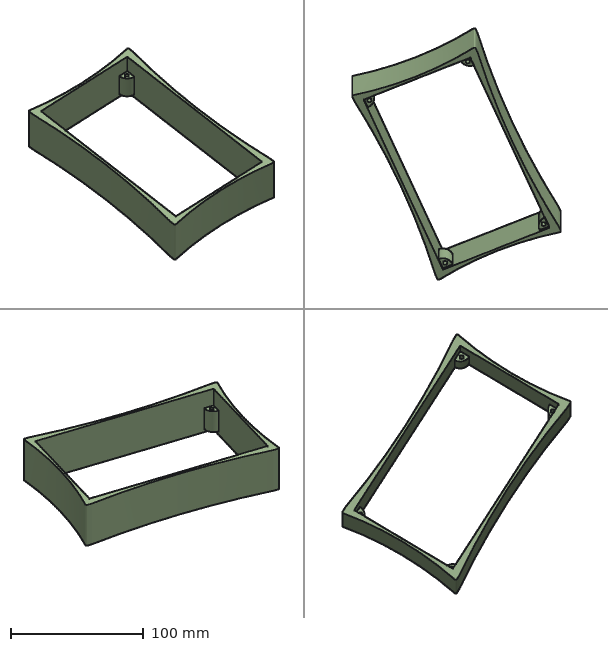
import cadquery as cq
import math

LENGTH = 164.5
WIDTH = 101.0
HEIGHT = 37.0
SIDE_DIP = 4.8
END_LAND = 5.0
CORNER_RADIUS = 1.0

OPENING_LENGTH = 151.5
OPENING_WIDTH = 87.2

POST_RADIUS = 8.0
POST_BOTTOM = 3.0
POST_TOP = 21.9
HOLE_DIAMETER = 3.1
HOLE_INSET = 3.3


def make_frame():
    """Rectangle with four concave sides and a rectangular opening."""
    y = WIDTH / 2
    end_slope = 2 * math.atan(SIDE_DIP / y)
    half_corner_angle = (math.pi / 2 - end_slope) / 2
    tip_trim = CORNER_RADIUS / math.tan(half_corner_angle) - CORNER_RADIUS
    x = LENGTH / 2 + tip_trim
    arc_x = LENGTH / 2 - END_LAND
    body = (
        cq.Workplane("XY")
        .moveTo(-x, -y)
        .lineTo(-arc_x, -y)
        .threePointArc((0, -y + SIDE_DIP), (arc_x, -y))
        .lineTo(x, -y)
        .threePointArc((x - SIDE_DIP, 0), (x, y))
        .lineTo(arc_x, y)
        .threePointArc((0, y - SIDE_DIP), (-arc_x, y))
        .lineTo(-x, y)
        .threePointArc((-x + SIDE_DIP, 0), (-x, -y))
        .close()
        .extrude(HEIGHT)
    )
    body = body.edges("|Z").edges("<X or >X").fillet(CORNER_RADIUS)
    opening = cq.Workplane("XY").rect(OPENING_LENGTH, OPENING_WIDTH).extrude(HEIGHT)
    return body.cut(opening)


def make_post(x_side, y_side):
    """Quarter-round post in one corner of the opening, with a through hole."""
    corner_x = x_side * OPENING_LENGTH / 2
    corner_y = y_side * OPENING_WIDTH / 2
    post_height = POST_TOP - POST_BOTTOM
    base = cq.Workplane("XY").workplane(offset=POST_BOTTOM)
    quarter = (
        base.moveTo(corner_x, corner_y)
        .lineTo(corner_x - x_side * POST_RADIUS, corner_y)
        .radiusArc((corner_x, corner_y - y_side * POST_RADIUS), -x_side * y_side * POST_RADIUS)
        .close()
        .extrude(post_height)
    )
    hole = (
        base.center(corner_x - x_side * HOLE_INSET, corner_y - y_side * HOLE_INSET)
        .circle(HOLE_DIAMETER / 2)
        .extrude(post_height)
    )
    return quarter.cut(hole)


result = make_frame()
for x_side in (-1, 1):
    for y_side in (-1, 1):
        result = result.union(make_post(x_side, y_side))